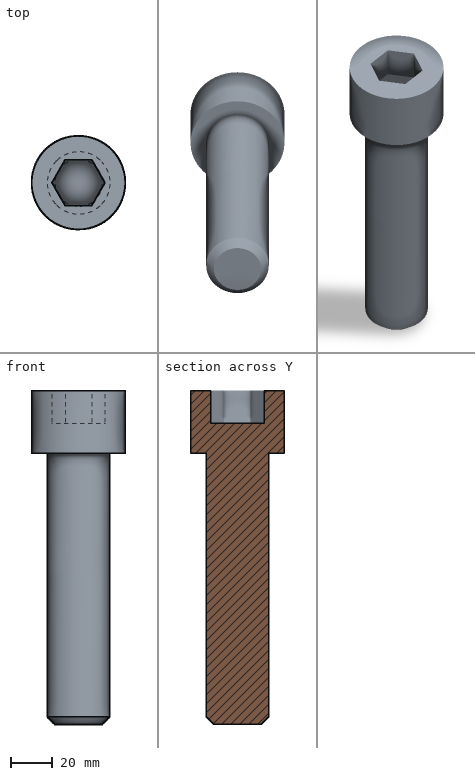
import cadquery as cq
import math

head_diameter = 45.0
head_height = 30.0
shank_diameter = 30.0
shank_length = 130.0
thread_length = 72.0
tip_chamfer = 3.7
hex_sides = 6
hex_across_flats = 22.0
hex_depth = 15.5

head_top = shank_length + head_height


def cylinder(diameter, bottom, top):
    """Round body on the Z axis between two heights."""
    return cq.Workplane("XY").workplane(offset=bottom).circle(diameter / 2).extrude(top - bottom)


def hex_socket():
    """Hexagonal recess, corners on X, sunk from the top of the head."""
    across_corners = hex_across_flats / math.cos(math.pi / hex_sides)
    return (
        cq.Workplane("XY")
        .workplane(offset=head_top - hex_depth)
        .polygon(hex_sides, across_corners)
        .extrude(hex_depth)
    )


thread = cylinder(shank_diameter, 0, thread_length).faces("<Z").chamfer(tip_chamfer)
plain_shank = cylinder(shank_diameter, thread_length, shank_length)
head = cylinder(head_diameter, shank_length, head_top)

screw = head.union(plain_shank, clean=False).union(thread, clean=False)
result = screw.cut(hex_socket(), clean=False)